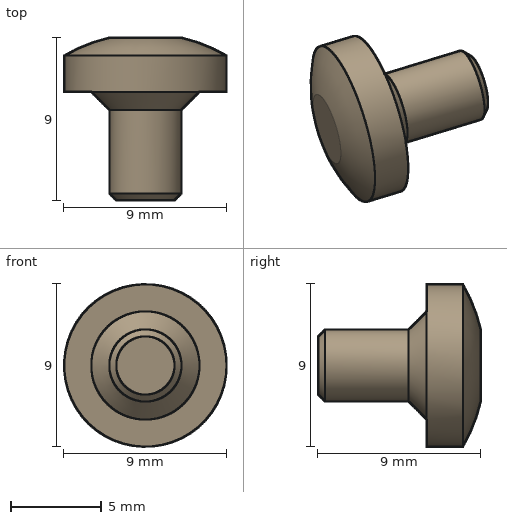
import cadquery as cq
import math

total_length = 9.0
head_radius = 4.5
shank_radius = 2.0
crown_flat_radius = shank_radius

dome_height = 1.0
rim_thickness = 2.0
collar_length = 1.0
collar_radius = shank_radius + collar_length
tip_chamfer = 0.39

crown_y = total_length / 2
rim_top_y = crown_y - dome_height
rim_bottom_y = rim_top_y - rim_thickness
collar_end_y = rim_bottom_y - collar_length
tip_y = crown_y - total_length

center_drop = (head_radius**2 - crown_flat_radius**2 - dome_height**2) / (2 * dome_height)
dome_center_y = rim_top_y - center_drop
dome_radius = math.hypot(head_radius, center_drop)
dome_mid_radius = (head_radius + crown_flat_radius) / 2
dome_mid_y = dome_center_y + math.sqrt(dome_radius**2 - dome_mid_radius**2)

half_profile = (
    cq.Workplane("XY")
    .moveTo(0, crown_y)
    .lineTo(crown_flat_radius, crown_y)
    .threePointArc((dome_mid_radius, dome_mid_y), (head_radius, rim_top_y))
    .lineTo(head_radius, rim_bottom_y)
    .lineTo(collar_radius, rim_bottom_y)
    .lineTo(shank_radius, collar_end_y)
    .lineTo(shank_radius, tip_y + tip_chamfer)
    .lineTo(shank_radius - tip_chamfer, tip_y)
    .lineTo(0, tip_y)
    .close()
)

result = half_profile.revolve(360, (0, 0, 0), (0, 1, 0))